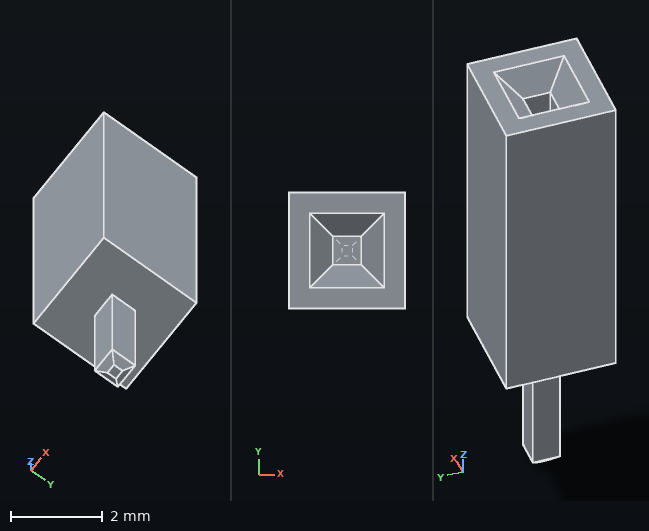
import cadquery as cq

total_height = 10.7
housing_width = 2.54
pin_length = 3.4

pin_width = 0.63
tip_width = 0.24
tip_length = 0.21

mouth_width = 1.63
socket_width = pin_width
lead_in_depth = 0.5
socket_depth = 5.35


def square_taper(base_z, base_width, top_z, top_width):
    """Square frustum centred on the Z axis."""
    return (
        cq.Workplane("XY", origin=(0, 0, base_z))
        .rect(base_width, base_width)
        .workplane(offset=top_z - base_z)
        .rect(top_width, top_width)
        .loft(ruled=True)
    )


def square_bar(base_z, top_z, width):
    """Square prism centred on the Z axis."""
    return cq.Workplane("XY", origin=(0, 0, base_z)).rect(width, width).extrude(top_z - base_z)


housing = square_bar(pin_length, total_height, housing_width)
shank = square_bar(tip_length, pin_length, pin_width)
tip = square_taper(0, tip_width, tip_length, pin_width)

lead_in_bottom = total_height - lead_in_depth
lead_in = square_taper(lead_in_bottom, socket_width, total_height, mouth_width)
socket = square_bar(total_height - socket_depth, lead_in_bottom, socket_width)

result = housing.union(shank).union(tip).cut(lead_in).cut(socket)